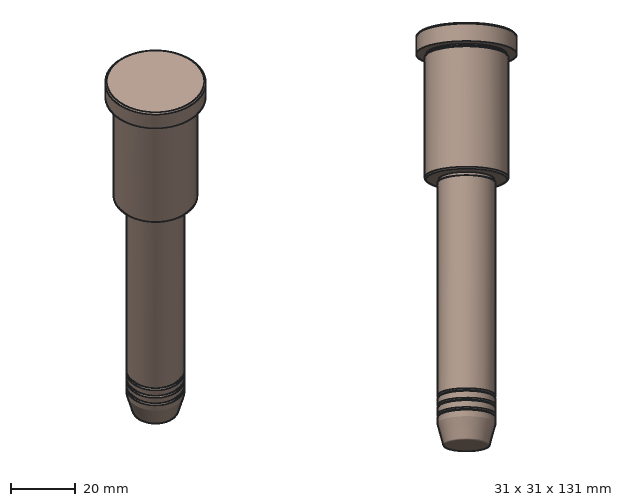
import cadquery as cq
import math

total_length = 131.0
head_height = 6.0
shoulder_length = 40.0
neck_length = 1.0
tip_length = 7.0

head_diameter = 31.0
shoulder_diameter = 26.0
shaft_diameter = 18.0

head_chamfer = 0.5
shoulder_chamfer = 0.5
neck_depth = 0.4
undercut_width = 1.0
undercut_depth = 0.5
tip_half_angle = 15.0
tip_fillet = 0.5

groove_count = 3
groove_pitch = 3.0
groove_width = 0.9
groove_depth = 0.5
lowest_groove_z = 9.4

head_bottom_z = total_length - head_height
shoulder_bottom_z = head_bottom_z - shoulder_length
shaft_radius = shaft_diameter / 2
tip_radius = shaft_radius - tip_length * math.tan(math.radians(tip_half_angle))


def cylinder(diameter, bottom_z, top_z):
    return cq.Workplane("XY").workplane(offset=bottom_z).circle(diameter / 2).extrude(top_z - bottom_z)


def make_shaft():
    """Shaft with a conical lead-in tip, running up to the shoulder."""
    straight = cylinder(shaft_diameter, tip_length, shoulder_bottom_z)
    tip = (
        cq.Workplane("XY")
        .circle(tip_radius)
        .workplane(offset=tip_length)
        .circle(shaft_radius)
        .loft(ruled=True)
        .faces("<Z")
        .edges()
        .fillet(tip_fillet)
    )
    return straight.union(tip)


def make_shoulder():
    shoulder = cylinder(shoulder_diameter, shoulder_bottom_z, head_bottom_z)
    return shoulder.faces("<Z").chamfer(shoulder_chamfer)


def make_head():
    head = cylinder(head_diameter, head_bottom_z, total_length)
    return head.faces(">Z").chamfer(head_chamfer)


def revolve_outline(points):
    """Solid of revolution about Z from a closed outline of (radius, z) points."""
    return cq.Workplane("XZ").polyline(points).close().revolve(360, (0, 0, 0), (0, 1, 0))


def undercut_ring():
    """Ring below the head with a 45 degree run-out down to the shoulder surface."""
    outer_radius = shoulder_diameter / 2
    inner_radius = outer_radius - undercut_depth
    bottom_z = head_bottom_z - undercut_width
    return revolve_outline([
        (outer_radius, bottom_z),
        (inner_radius, bottom_z + undercut_depth),
        (inner_radius, head_bottom_z),
        (outer_radius, head_bottom_z),
    ])


def neck_ring():
    """Square-sided ring that cuts the neck into the top of the shaft."""
    bottom_z = shoulder_bottom_z - neck_length
    inner_radius = shaft_radius - neck_depth
    return revolve_outline([
        (shaft_radius, bottom_z),
        (inner_radius, bottom_z),
        (inner_radius, shoulder_bottom_z),
        (shaft_radius, shoulder_bottom_z),
    ])


def v_groove_ring(center_z):
    """Triangular ring that cuts a V groove into the shaft."""
    half_width = groove_width / 2
    return revolve_outline([
        (shaft_radius, center_z - half_width),
        (shaft_radius - groove_depth, center_z),
        (shaft_radius, center_z + half_width),
    ])


result = make_shaft().union(make_shoulder()).union(make_head())
result = result.cut(undercut_ring()).cut(neck_ring())
for index in range(groove_count):
    result = result.cut(v_groove_ring(lowest_groove_z + index * groove_pitch))